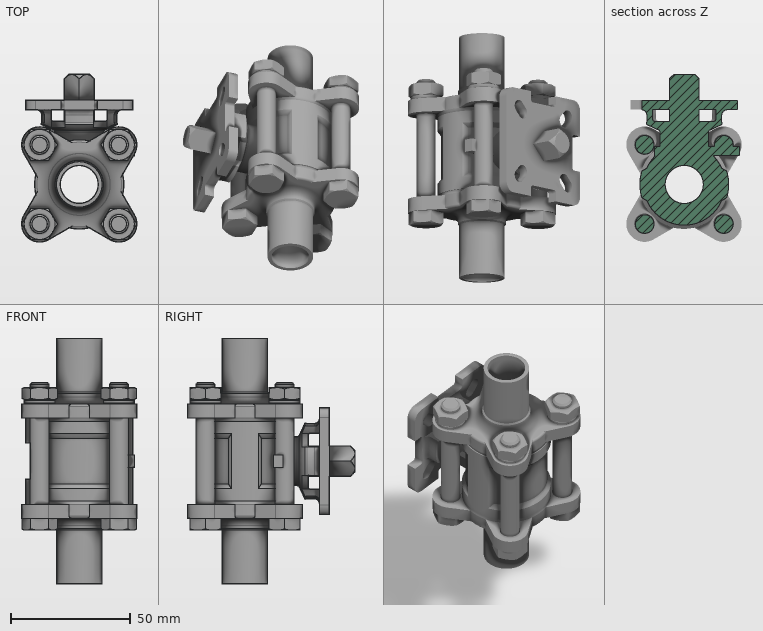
import cadquery as cq
import math

PIPE_OD = 19.1
BORE = 15.8
PIPE_HALF_LENGTH = 51.5
NECK_OD = 20.3
NECK_TOP = 28.35
WELD_HEIGHT = 0.65
NECK_FILLET_OD = 26.0
NECK_FILLET_HEIGHT = 3.0

FLANGE_INNER_Z = 18.1
FLANGE_OUTER_Z = 24.0
BOLT_CIRCLE = 47.0
BOLT_OFFSET = BOLT_CIRCLE / 2 / math.sqrt(2)
LOBE_RADIUS = 7.6
WAIST_ANGLE = math.radians(60)
DISC_FILLET = 1.0
BOLT_HOLE = 8.6

BODY_OD = 37.5
BODY_HALF_HEIGHT = 16.65
SPIGOT_RADIUS = 18.3
RECESS_RADIUS = 17.2
RECESS_HALF_HEIGHT = 11.55
RECESS_FLOOR_HALF_HEIGHT = 9.6
RECESS_RIM_Y = 5.65
RECESS_FLOOR_Y = 6.9

BOLT_OD = 8.0
BOLT_TOP = 33.0
BOLT_CHAMFER = 0.8
HEX_FLATS = 13.0
HEAD_HEIGHT = 5.0
NUT_TOP = 30.9
WASHER_OD = 13.0
WASHER_HEIGHT = 1.8
WASHER_CHAMFER = 0.35
HEX_CHAMFER_ANGLE = math.radians(30)

BAR_X_MIN = -12.6
BAR_X_MAX = 23.2
BAR_Y_MIN = 12.0
BAR_Y_MAX = 16.0
BAR_HEIGHT = 5.3

PLATE_SIZE = 45.0
PLATE_CORNER = 4.1
PLATE_BOTTOM = 31.25
PLATE_TOP = 35.4
NOTCH_WIDTH = 15.2
NOTCH_DEPTH = 4.7
NOTCH_FILLET = 1.2
SLOT_WIDTH = 5.5
SLOT_INNER_PCD = 36.0
SLOT_OUTER_PCD = 42.0

BOSS_RADIUS = 10.25
BOSS_TOP = 21.8
CUP_BASE_RADIUS = 10.5
CUP_BASE_Y = 22.6
CUP_LIP_RADIUS = 16.05
CUP_LIP_Y = 25.2
CUP_LIP_HEIGHT = 0.9
CUP_RADIUS = 15.85
CUP_INNER_RADIUS = 13.15
CUP_FLARE = 2.1
CUP_FLOOR = 26.6
CUP_FLOOR_FILLET = 0.7
ARM_WIDTH = 12.0
ARM_ROOT_Y = 23.9

STEM_SQUARE = 9.0
OVERALL_Y = 70.51
STEM_END = OVERALL_Y - BOLT_OFFSET - LOBE_RADIUS
STEM_CHAMFER = 2.0


def cylinder(radius, z_min, z_max):
    return cq.Workplane("XY").workplane(offset=z_min).circle(radius).extrude(z_max - z_min)


def cylinder_y(radius, y_min, y_max):
    return cq.Workplane("XZ").workplane(offset=-y_max).circle(radius).extrude(y_max - y_min)


def box(x_min, x_max, y_min, y_max, z_min, z_max):
    size = (x_max - x_min, y_max - y_min, z_max - z_min)
    return cq.Workplane("XY").box(*size, centered=False).translate((x_min, y_min, z_min))


def bolt_points():
    return [(sx * BOLT_OFFSET, sy * BOLT_OFFSET) for sx in (-1, 1) for sy in (-1, 1)]


def make_neck():
    """Upper pipe with its weld neck, flared into the flange."""
    pipe_r = PIPE_OD / 2
    neck_r = NECK_OD / 2
    flare_r = NECK_FILLET_OD / 2
    flare_width = flare_r - neck_r
    bend = math.sqrt(0.5)
    mid = (flare_r - flare_width * bend, FLANGE_OUTER_Z + NECK_FILLET_HEIGHT * (1 - bend))
    return (
        cq.Workplane("XZ")
        .moveTo(0, FLANGE_OUTER_Z)
        .lineTo(flare_r, FLANGE_OUTER_Z)
        .threePointArc(mid, (neck_r, FLANGE_OUTER_Z + NECK_FILLET_HEIGHT))
        .lineTo(neck_r, NECK_TOP)
        .lineTo(pipe_r, NECK_TOP + WELD_HEIGHT)
        .lineTo(pipe_r, PIPE_HALF_LENGTH)
        .lineTo(0, PIPE_HALF_LENGTH)
        .close()
        .revolve(360, (0, 0, 0), (0, 1, 0))
    )


def make_flange():
    """Upper flange: round disc, four bolt lobes with straight tangent flanks, tapered spigot below."""
    thickness = FLANGE_OUTER_Z - FLANGE_INNER_Z
    tangent_near = BOLT_OFFSET - LOBE_RADIUS * math.cos(WAIST_ANGLE)
    tangent_far = BOLT_OFFSET + LOBE_RADIUS * math.sin(WAIST_ANGLE)
    waist = tangent_far - tangent_near / math.tan(WAIST_ANGLE)
    outline = []
    for quarter in range(4):
        cos_q = round(math.cos(quarter * math.pi / 2))
        sin_q = round(math.sin(quarter * math.pi / 2))
        for x, y in ((waist, 0), (tangent_far, tangent_near), (tangent_near, tangent_far)):
            outline.append((x * cos_q - y * sin_q, x * sin_q + y * cos_q))
    base = cq.Workplane("XY").workplane(offset=FLANGE_INNER_Z)
    flange = base.polyline(outline).close().extrude(thickness)
    flange = flange.union(base.pushPoints(bolt_points()).circle(LOBE_RADIUS).extrude(thickness))
    flange = flange.cut(base.pushPoints(bolt_points()).circle(BOLT_HOLE / 2).extrude(thickness))
    disc_r = BODY_OD / 2
    disc = cylinder(disc_r, FLANGE_INNER_Z, FLANGE_OUTER_Z).faces(">Z").edges().fillet(DISC_FILLET)
    spigot = (
        cq.Workplane("XZ")
        .moveTo(0, BODY_HALF_HEIGHT)
        .lineTo(SPIGOT_RADIUS, BODY_HALF_HEIGHT)
        .lineTo(disc_r, FLANGE_INNER_Z)
        .lineTo(0, FLANGE_INNER_Z)
        .close()
        .revolve(360, (0, 0, 0), (0, 1, 0))
    )
    return flange.union(disc).union(spigot)


def make_recess(side):
    """Cutter for the shallow bevelled recess on the +Y (side = 1) or -Y (side = -1) half."""
    rim_r = BODY_OD / 2
    ring = (
        cq.Workplane("XZ")
        .moveTo(RECESS_RADIUS, -RECESS_FLOOR_HALF_HEIGHT)
        .lineTo(rim_r, -RECESS_HALF_HEIGHT)
        .lineTo(rim_r, RECESS_HALF_HEIGHT)
        .lineTo(RECESS_RADIUS, RECESS_FLOOR_HALF_HEIGHT)
        .close()
        .revolve(360, (0, 0, 0), (0, 1, 0))
    )
    rim_x = math.sqrt(rim_r**2 - RECESS_RIM_Y**2)
    floor_x = math.sqrt(RECESS_RADIUS**2 - RECESS_FLOOR_Y**2)
    sector = (
        cq.Workplane("XY")
        .workplane(offset=-RECESS_HALF_HEIGHT)
        .moveTo(-rim_x, side * RECESS_RIM_Y)
        .lineTo(-floor_x, side * RECESS_FLOOR_Y)
        .lineTo(floor_x, side * RECESS_FLOOR_Y)
        .lineTo(rim_x, side * RECESS_RIM_Y)
        .lineTo(rim_x, side * BODY_OD)
        .lineTo(-rim_x, side * BODY_OD)
        .close()
        .extrude(2 * RECESS_HALF_HEIGHT)
    )
    return ring.intersect(sector)


def make_hex(z_min, z_max, chamfer_bottom, chamfer_top):
    """Hexagonal prism with corners on X, its corners bevelled at the chosen ends."""
    corner_r = HEX_FLATS / math.sqrt(3)
    flat_r = HEX_FLATS / 2
    drop = (corner_r - flat_r) * math.tan(HEX_CHAMFER_ANGLE)
    prism = cq.Workplane("XY").workplane(offset=z_min).polygon(6, 2 * corner_r).extrude(z_max - z_min)
    low_r = flat_r if chamfer_bottom else corner_r
    high_r = flat_r if chamfer_top else corner_r
    envelope = (
        cq.Workplane("XZ")
        .moveTo(0, z_min)
        .lineTo(low_r, z_min)
        .lineTo(corner_r, z_min + drop)
        .lineTo(corner_r, z_max - drop)
        .lineTo(high_r, z_max)
        .lineTo(0, z_max)
        .close()
        .revolve(360, (0, 0, 0), (0, 1, 0))
    )
    return prism.intersect(envelope)


def make_bolt():
    """Through bolt on the Z axis with head below, washer and nut above."""
    shank = cylinder(BOLT_OD / 2, -FLANGE_OUTER_Z, BOLT_TOP).faces(">Z").chamfer(BOLT_CHAMFER)
    head = make_hex(-FLANGE_OUTER_Z - HEAD_HEIGHT, -FLANGE_OUTER_Z, True, False)
    washer_top = FLANGE_OUTER_Z + WASHER_HEIGHT
    washer = cylinder(WASHER_OD / 2, FLANGE_OUTER_Z, washer_top).edges().chamfer(WASHER_CHAMFER)
    nut = make_hex(washer_top, NUT_TOP, True, True)
    return shank.union(head).union(washer).union(nut)


def make_plate():
    """Square mounting plate with three edge notches and four diagonal slots."""
    half = PLATE_SIZE / 2
    plate = box(-half, half, PLATE_BOTTOM, PLATE_TOP, -half, half).edges("|Y").fillet(PLATE_CORNER)
    floor = half - NOTCH_DEPTH
    half_notch = NOTCH_WIDTH / 2
    notch = box(-half, -floor, PLATE_BOTTOM, PLATE_TOP, -half_notch, half_notch)
    notch = notch.edges("|Y and >X").fillet(NOTCH_FILLET)
    for angle in (-90, 0, 90):
        plate = plate.cut(notch.rotate((0, 0, 0), (0, 1, 0), angle))
    slot_centre = (SLOT_INNER_PCD + SLOT_OUTER_PCD) / 4
    slot_length = (SLOT_OUTER_PCD - SLOT_INNER_PCD) / 2 + SLOT_WIDTH
    slot = (
        cq.Workplane("XZ")
        .workplane(offset=-PLATE_TOP)
        .center(slot_centre, 0)
        .slot2D(slot_length, SLOT_WIDTH)
        .extrude(PLATE_TOP - PLATE_BOTTOM)
    )
    for angle in (45, 135, 225, 315):
        plate = plate.cut(slot.rotate((0, 0, 0), (0, 1, 0), angle))
    return plate


def make_bracket():
    """Boss, core and conical cup whose wall is cut into four arms carrying the plate."""
    flare_r = CUP_RADIUS + CUP_FLARE
    flare_y = PLATE_BOTTOM - CUP_FLARE
    bend = CUP_FLARE * math.sqrt(0.5)
    shell = (
        cq.Workplane("XY")
        .lineTo(BOSS_RADIUS, 0)
        .lineTo(BOSS_RADIUS, BOSS_TOP)
        .lineTo(CUP_BASE_RADIUS, CUP_BASE_Y)
        .lineTo(CUP_LIP_RADIUS, CUP_LIP_Y)
        .lineTo(CUP_RADIUS, CUP_LIP_Y + CUP_LIP_HEIGHT)
        .lineTo(CUP_RADIUS, flare_y)
        .threePointArc((flare_r - bend, flare_y + bend), (flare_r, PLATE_BOTTOM))
        .lineTo(0, PLATE_BOTTOM)
        .close()
        .revolve(360, (0, 0, 0), (0, 1, 0))
    )
    hollow = cylinder_y(CUP_INNER_RADIUS, CUP_FLOOR, PLATE_BOTTOM)
    shell = shell.cut(hollow.faces("<Y").edges().fillet(CUP_FLOOR_FILLET))
    half_arm = ARM_WIDTH / 2
    for sx in (-1, 1):
        for sz in (-1, 1):
            x_range = sorted((sx * half_arm, sx * PLATE_SIZE))
            z_range = sorted((sz * half_arm, sz * PLATE_SIZE))
            shell = shell.cut(box(*x_range, ARM_ROOT_Y, PLATE_BOTTOM, *z_range))
    return shell.union(cylinder_y(CUP_INNER_RADIUS, ARM_ROOT_Y, CUP_FLOOR))


def make_stem():
    """Square drive end, corners toward X and Z, with a conical tip and a round shank."""
    corner_r = STEM_SQUARE / math.sqrt(2)
    square = (
        cq.Workplane("XZ")
        .workplane(offset=-STEM_END)
        .polygon(4, 2 * corner_r)
        .extrude(STEM_END - PLATE_BOTTOM)
    )
    envelope = cylinder_y(corner_r, PLATE_BOTTOM, STEM_END).faces(">Y").chamfer(STEM_CHAMFER)
    shank = cylinder_y(corner_r, CUP_FLOOR, PLATE_BOTTOM)
    return square.intersect(envelope).union(shank)


def make_body():
    """Cylindrical body with its recesses and both pipe ends."""
    core = cylinder(BODY_OD / 2, -BODY_HALF_HEIGHT, BODY_HALF_HEIGHT)
    core = core.cut(make_recess(1)).cut(make_recess(-1))
    end = make_neck().union(make_flange())
    return core.union(end).union(end.mirror("XY"))


def make_stop_bar():
    """Rectangular bar along X through the body behind its axis."""
    half = BAR_HEIGHT / 2
    return box(BAR_X_MIN, BAR_X_MAX, BAR_Y_MIN, BAR_Y_MAX, -half, half)


result = make_body().union(make_stop_bar())
result = result.union(make_bracket()).union(make_plate()).union(make_stem())
result = result.cut(cylinder(BORE / 2, -PIPE_HALF_LENGTH, PIPE_HALF_LENGTH))
bolt = make_bolt()
for bolt_x, bolt_y in bolt_points():
    result = result.union(bolt.translate((bolt_x, bolt_y, 0)))
result = cq.Workplane(result.solids().val())